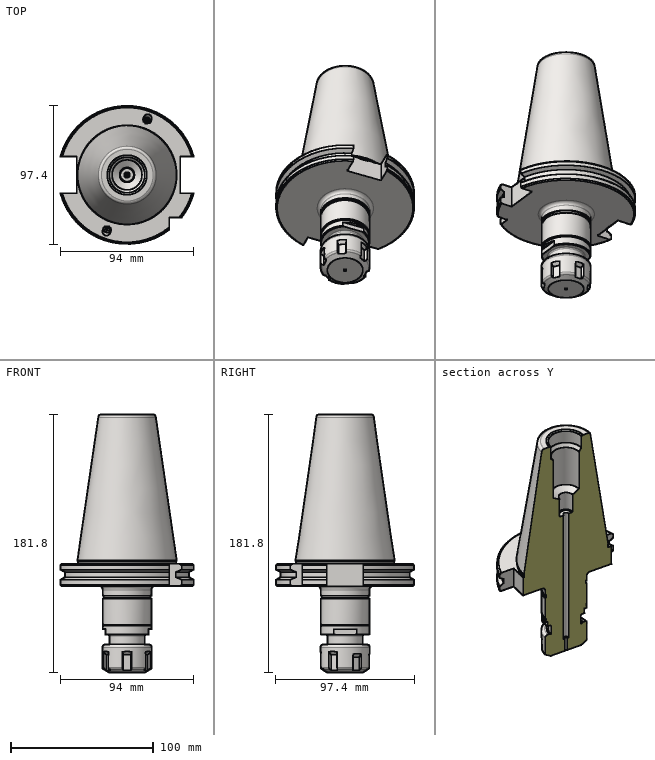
import cadquery as cq
import math


taper_length = 101.8
gauge_radius = 34.9
taper_slope = 7 / 48
taper_top_radius = gauge_radius - taper_slope * taper_length
taper_top_round = 2.2
lip_height = 0.9
relief_radius = 34.7

flange_radius = 48.7
flange_top = -3.3
flange_bottom = -19.0
flange_top_chamfer = 1.3
flange_bottom_chamfer = 0.9
groove_floor_radius = 45.6
groove_floor_width = 3.6
groove_mid = -11.0
groove_half_floor = groove_floor_width / 2
groove_flare = (flange_radius - groove_floor_radius) * math.tan(math.radians(30))
drive_slot_width = 25.6
drive_slot_left = 35.5
drive_slot_right = 37.6
notch_x = 29.8
notch_y = 30.0

shank_radius = 17.3
flange_fillet = 2.5
ring_groove_top = -25.8
ring_groove_bottom = -28.2
ring_groove_depth = 0.7
line_groove_top = -46.2
line_groove_width = 0.9
line_groove_depth = 0.5
collar_bottom = -53.5
collar_chamfer = 0.5
neck_radius = 12.5
neck_fillet = 0.7
flat_top = -49.5
flat_distance = 15.3

nut_radius = 17.5
nut_top = -60.2
nut_bottom = -80.0
nut_top_round = 2.2
nut_mouth_radius = 13.8
nut_mouth_depth = 0.9
nut_face_radius = 12.5
nut_cone_angle = 30.0
nut_cone_round = 1.8
slot_count = 6
slot_floor_radius = 15.3
slot_floor_half_width = 2.5
slot_side_flare = 0.9
slot_top_flare = 2.5
slot_top = -65.0
short_slot_top = -66.7

pilot_radius = 12.5
pilot_chamfer_width = 1.5
pilot_chamfer_height = 0.5
pilot_depth = 10.5
thread_radius = 10.5
thread_start_depth = 13.3
thread_end_depth = 45.5
drill_radius = 5.3
drill_tip_depth = thread_end_depth + (thread_radius - drill_radius) * math.tan(math.radians(30))
drill_floor_chamfer = 0.5
drill_depth = 63.6
coolant_radius = 2.0
coolant_outlet_radius = 0.9
coolant_outlet_top = -69.0

plug_radius = 2.9
plug_length = 7.3
plug_recess = 2.9
plug_tilt = 30.0
plug_circle_radius = 42.0
plug_angles = (70.0, 250.0)
plug_socket_width = 2.9
plug_socket_depth = 2.9
mouth_overrun = 3.6


def revolved(outline):
    return outline.close().revolve(360, (0, 0, 0), (0, 1, 0))


def taper_and_flange():
    round_bottom = taper_length - taper_top_round
    round_radius = taper_top_radius + taper_slope * taper_top_round
    groove_top = groove_mid + groove_half_floor
    groove_base = groove_mid - groove_half_floor
    outline = (
        cq.Workplane("XZ")
        .moveTo(0, taper_length)
        .lineTo(round_radius - taper_top_round, taper_length)
        .radiusArc((round_radius, round_bottom), taper_top_round)
        .lineTo(gauge_radius + taper_slope * lip_height, -lip_height)
        .lineTo(relief_radius, -2 * lip_height)
        .lineTo(relief_radius, flange_top)
        .lineTo(flange_radius - flange_top_chamfer, flange_top)
        .lineTo(flange_radius, flange_top - flange_top_chamfer)
        .lineTo(flange_radius, groove_top + groove_flare)
        .lineTo(groove_floor_radius, groove_top)
        .lineTo(groove_floor_radius, groove_base)
        .lineTo(flange_radius, groove_base - groove_flare)
        .lineTo(flange_radius, flange_bottom + flange_bottom_chamfer)
        .lineTo(flange_radius - flange_bottom_chamfer, flange_bottom)
        .lineTo(0, flange_bottom)
    )
    return revolved(outline)


def drive_cutouts():
    height = flange_top - flange_bottom
    reach = flange_radius
    blank = cq.Workplane("XY").workplane(offset=flange_bottom)
    left = blank.center(-drive_slot_left - reach / 2, 0).rect(reach, drive_slot_width).extrude(height)
    right = blank.center(drive_slot_right + reach / 2, 0).rect(reach, drive_slot_width).extrude(height)
    corner = blank.center(notch_x + reach / 2, -notch_y - reach / 2).rect(reach, reach).extrude(height)
    return left.union(right).union(corner)


def shank():
    line_groove_bottom = line_groove_top - line_groove_width
    ring_radius = shank_radius - ring_groove_depth
    outline = (
        cq.Workplane("XZ")
        .moveTo(0, flange_bottom)
        .lineTo(shank_radius + flange_fillet, flange_bottom)
        .radiusArc((shank_radius, flange_bottom - flange_fillet), -flange_fillet)
        .lineTo(shank_radius, ring_groove_top)
        .lineTo(ring_radius, ring_groove_top)
        .lineTo(ring_radius, ring_groove_bottom + ring_groove_depth)
        .lineTo(shank_radius, ring_groove_bottom)
        .lineTo(shank_radius, line_groove_top)
        .lineTo(shank_radius - line_groove_depth, line_groove_top)
        .lineTo(shank_radius - line_groove_depth, line_groove_bottom)
        .lineTo(shank_radius, line_groove_bottom)
        .lineTo(shank_radius, collar_bottom + collar_chamfer)
        .lineTo(shank_radius - collar_chamfer, collar_bottom)
        .lineTo(neck_radius + neck_fillet, collar_bottom)
        .radiusArc((neck_radius, collar_bottom - neck_fillet), -neck_fillet)
        .lineTo(neck_radius, nut_top - nut_mouth_depth)
        .lineTo(0, nut_top - nut_mouth_depth)
    )
    return revolved(outline).cut(wrench_flats())


def wrench_flats():
    height = flat_top - collar_bottom
    offset = flat_distance + shank_radius / 2
    return (
        cq.Workplane("XY")
        .workplane(offset=collar_bottom)
        .pushPoints([(-offset, 0), (offset, 0)])
        .rect(shank_radius, 2 * shank_radius)
        .extrude(height)
    )


def nut_blank():
    """Nut with a lower end that rounds smoothly from its side into a cone."""
    cone = math.radians(nut_cone_angle)
    cone_corner = nut_bottom + (nut_radius - nut_face_radius) * math.tan(cone)
    tangent = nut_cone_round * math.tan(math.pi / 4 - cone / 2)
    round_end = (nut_radius - tangent * math.cos(cone), cone_corner - tangent * math.sin(cone))
    outline = (
        cq.Workplane("XZ")
        .moveTo(0, nut_top - nut_mouth_depth)
        .lineTo(neck_radius, nut_top - nut_mouth_depth)
        .lineTo(nut_mouth_radius, nut_top)
        .lineTo(nut_radius - nut_top_round, nut_top)
        .radiusArc((nut_radius, nut_top - nut_top_round), nut_top_round)
        .lineTo(nut_radius, cone_corner + tangent)
        .radiusArc(round_end, nut_cone_round)
        .lineTo(nut_face_radius, nut_bottom)
        .lineTo(0, nut_bottom)
    )
    return revolved(outline)


def nut_slot(top, angle):
    """Slot cutter that flares from a flat floor out to the nut's surface and runs out below."""
    floor_height = top - slot_top_flare - nut_bottom
    mouth_height = top - nut_bottom
    mouth_half_width = slot_floor_half_width + slot_side_flare
    return (
        cq.Workplane("YZ", origin=(slot_floor_radius, 0, nut_bottom))
        .center(0, floor_height / 2)
        .rect(2 * slot_floor_half_width, floor_height)
        .workplane(offset=nut_radius - slot_floor_radius)
        .center(0, (mouth_height - floor_height) / 2)
        .rect(2 * mouth_half_width, mouth_height)
        .loft(ruled=True)
        .rotate((0, 0, 0), (0, 0, 1), angle)
    )


def nut():
    body = nut_blank()
    for index in range(slot_count):
        angle = 30 + index * 360 / slot_count
        top = short_slot_top if angle < 180 else slot_top
        body = body.cut(nut_slot(top, angle))
    return body


def central_bore():
    """Stepped draw-bar bore that narrows to a coolant hole right through the holder."""
    drill_floor = taper_length - drill_depth
    outline = (
        cq.Workplane("XZ")
        .moveTo(0, taper_length)
        .lineTo(pilot_radius + pilot_chamfer_width, taper_length)
        .lineTo(pilot_radius, taper_length - pilot_chamfer_height)
        .lineTo(pilot_radius, taper_length - pilot_depth)
        .lineTo(thread_radius, taper_length - thread_start_depth)
        .lineTo(thread_radius, taper_length - thread_end_depth)
        .lineTo(drill_radius, taper_length - drill_tip_depth)
        .lineTo(drill_radius, drill_floor + drill_floor_chamfer)
        .lineTo(drill_radius - drill_floor_chamfer, drill_floor)
        .lineTo(coolant_radius, drill_floor)
        .lineTo(coolant_radius, coolant_outlet_top)
        .lineTo(coolant_outlet_radius, coolant_outlet_top)
        .lineTo(coolant_outlet_radius, nut_bottom)
        .lineTo(0, nut_bottom)
    )
    return revolved(outline)


def placed_in_plug_hole(shape, angle):
    """Move a shape whose +Z is the hole axis and whose origin is the hole mouth into the flange."""
    return (
        shape.rotate((0, 0, 0), (0, 1, 0), plug_tilt)
        .translate((plug_circle_radius, 0, flange_top))
        .rotate((0, 0, 0), (0, 0, 1), angle)
    )


def plug_hole(angle):
    bottom = -plug_recess - plug_length
    cutter = cq.Workplane("XY").workplane(offset=bottom).circle(plug_radius).extrude(mouth_overrun - bottom)
    return placed_in_plug_hole(cutter, angle)


def plug_screw(angle):
    socket_diameter = plug_socket_width / math.cos(math.radians(30))
    screw = (
        cq.Workplane("XY")
        .workplane(offset=-plug_recess)
        .circle(plug_radius)
        .extrude(-plug_length)
        .faces(">Z")
        .workplane()
        .polygon(6, socket_diameter)
        .cutBlind(-plug_socket_depth)
    )
    return placed_in_plug_hole(screw, angle)


def holder():
    body = taper_and_flange().cut(drive_cutouts()).union(shank()).union(nut()).cut(central_bore())
    for angle in plug_angles:
        body = body.cut(plug_hole(angle))
    return body


holder_body = holder()
plug_screws = [plug_screw(angle) for angle in plug_angles]

result = cq.Compound.makeCompound([*holder_body.solids().vals(), *[screw.val() for screw in plug_screws]])